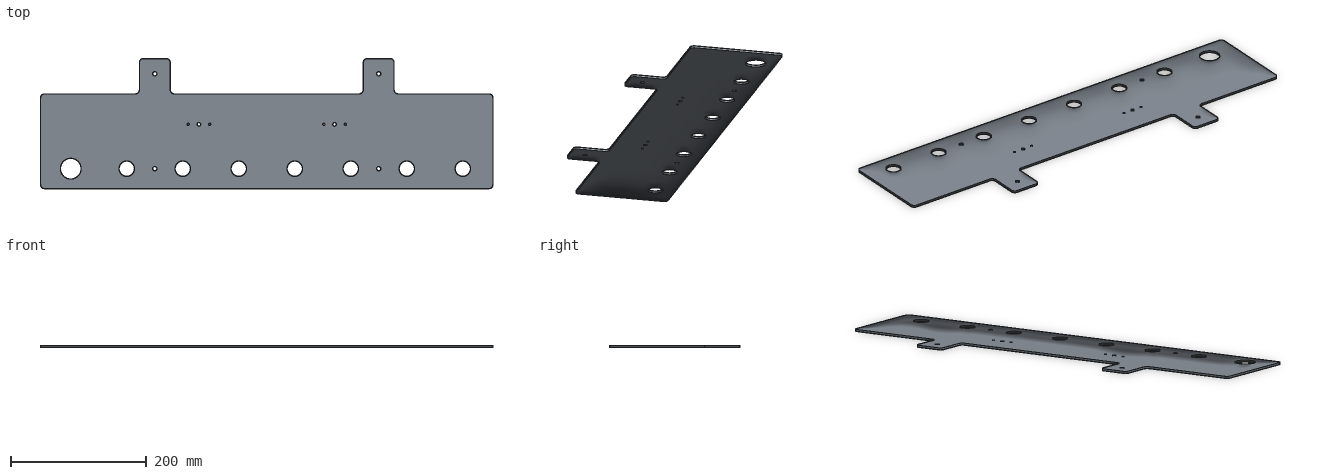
import cadquery as cq

plate_length = 667.0
body_width = 140.0
overall_width = 192.0
thickness = 3.18
corner_radius = 6.0

tab_width = 45.7
tab_spacing = 330.0
tab_hole_inset = 22.5
tab_hole_diameter = 6.0

row_inset = 29.6
row_pitch = 82.55
row_count = 8
row_hole_diameter = 22.3
end_hole_diameter = 30.2

group_inset = 95.0
group_spacing = 200.0
group_pitch = 15.8
group_center_diameter = 5.0
group_side_diameter = 3.0

front_y = -overall_width / 2
rear_y = overall_width / 2
row_y = front_y + row_inset
group_y = front_y + group_inset
tab_xs = (-tab_spacing / 2, tab_spacing / 2)
group_xs = (-group_spacing / 2, group_spacing / 2)


def make_plate():
    """Rectangular body with two rear tabs, all outline corners rounded."""
    plate = cq.Workplane("XY").rect(plate_length, body_width).extrude(thickness)
    plate = plate.translate((0, front_y + body_width / 2, 0))
    for x in tab_xs:
        tab = cq.Workplane("XY").rect(tab_width, overall_width).extrude(thickness)
        plate = plate.union(tab.translate((x, 0, 0)))
    return plate.clean().edges("|Z").fillet(corner_radius)


def drill(plate, points, diameter):
    """Cut round through holes at the given points."""
    cutters = cq.Workplane("XY").pushPoints(points).circle(diameter / 2).extrude(thickness)
    return plate.cut(cutters)


def drill_row(plate):
    """Evenly spaced row whose leftmost hole is larger than the others."""
    first_x = -row_pitch * (row_count - 1) / 2
    points = [(first_x + i * row_pitch, row_y) for i in range(row_count)]
    plate = drill(plate, points[:1], end_hole_diameter)
    return drill(plate, points[1:], row_hole_diameter)


def drill_mounting_holes(plate):
    """One hole in each tab and one in line with it on the large-hole row."""
    points = [(x, y) for x in tab_xs for y in (rear_y - tab_hole_inset, row_y)]
    return drill(plate, points, tab_hole_diameter)


def drill_groups(plate):
    """Each group has a centre hole flanked by two smaller ones."""
    centers = [(x, group_y) for x in group_xs]
    sides = [(x + dx, group_y) for x in group_xs for dx in (-group_pitch, group_pitch)]
    plate = drill(plate, centers, group_center_diameter)
    return drill(plate, sides, group_side_diameter)


result = drill_groups(drill_mounting_holes(drill_row(make_plate())))